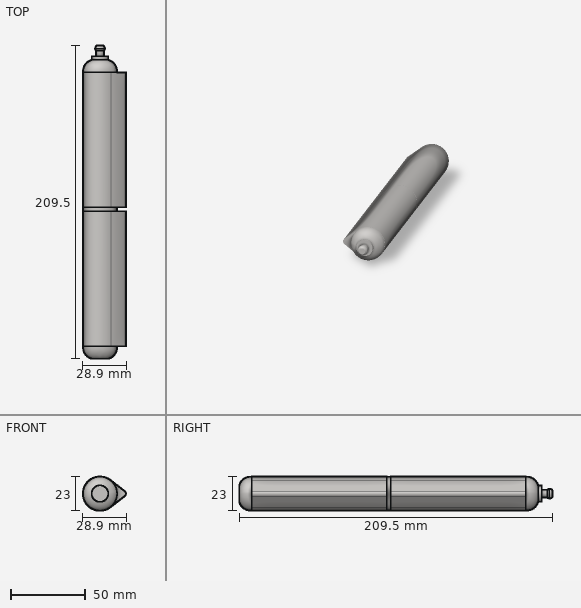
import cadquery as cq
import math

total_length = 209.5
cap_length = 8.4
leaf_length = 90.3
gap_length = 2.5

barrel_radius = 11.5
wing_reach = 17.4
wing_tip_radius = 2.0

core_radius = 22.8 / 2
cap_end_radius = 11.0 / 2
cap_arc_radius = 16.0 / 2

pin_neck_radius = 2.7
pin_rim_radius = 3.4
pin_tip_radius = 2.0
pin_nose_length = 2.3
pin_nose_arc_radius = 2.5
pin_taper_setback = 3.5
collar_setback = 7.1

lower_leaf_start = cap_length
upper_leaf_start = lower_leaf_start + leaf_length + gap_length
upper_leaf_end = upper_leaf_start + leaf_length
upper_cap_end = upper_leaf_end + cap_length


def make_core():
    """Turned core with both caps, the collar and the pin."""
    return (
        cq.Workplane("XY")
        .moveTo(0, 0)
        .lineTo(cap_end_radius, 0)
        .radiusArc((core_radius, cap_length), -cap_arc_radius)
        .lineTo(core_radius, upper_leaf_end)
        .radiusArc((cap_end_radius, upper_cap_end), -cap_arc_radius)
        .lineTo(cap_end_radius, total_length - collar_setback)
        .lineTo(pin_neck_radius, total_length - collar_setback)
        .lineTo(pin_neck_radius, total_length - pin_taper_setback)
        .lineTo(pin_rim_radius, total_length - pin_nose_length)
        .radiusArc((pin_tip_radius, total_length), -pin_nose_arc_radius)
        .lineTo(0, total_length)
        .close()
        .revolve(360, (0, 0, 0), (0, 1, 0))
    )


def make_leaf(start):
    """Teardrop leaf: barrel and wing tip joined by their common tangents."""
    tip_center = wing_reach - wing_tip_radius
    normal_angle = math.acos((barrel_radius - wing_tip_radius) / tip_center)
    normal_x = math.cos(normal_angle)
    normal_z = math.sin(normal_angle)
    barrel_x = barrel_radius * normal_x
    barrel_z = barrel_radius * normal_z
    tip_x = tip_center + wing_tip_radius * normal_x
    tip_z = wing_tip_radius * normal_z
    return (
        cq.Workplane("XZ", origin=(0, start, 0))
        .moveTo(barrel_x, barrel_z)
        .threePointArc((-barrel_radius, 0), (barrel_x, -barrel_z))
        .lineTo(tip_x, -tip_z)
        .threePointArc((wing_reach, 0), (tip_x, tip_z))
        .close()
        .extrude(-leaf_length)
    )


result = make_core()
for leaf_start in (lower_leaf_start, upper_leaf_start):
    result = result.union(make_leaf(leaf_start))